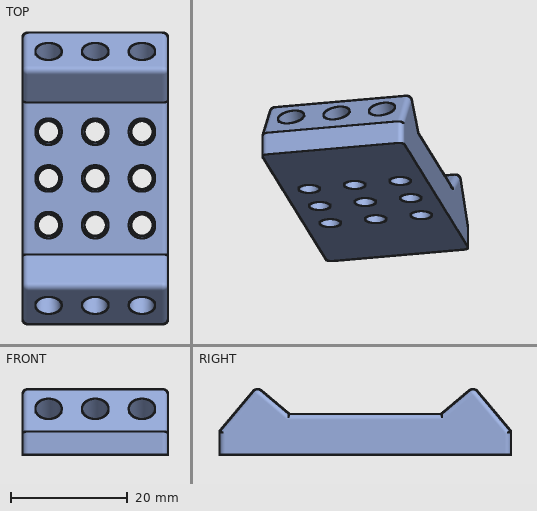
import math

import cadquery as cq

width = 25.0
length = 50.0
edge_radius = 1.0

wall_height = 4.0
groove_floor = 7.0
groove_half_length = 13.0
outer_slope = 50.0
inner_slope = 40.0

hole_top_diameter = 4.55
hole_end_diameter = 3.65
hole_depth = groove_floor
hole_pitch = 8.0
slope_hole_y = 21.75

half_length = length / 2
outer_rise = math.tan(math.radians(outer_slope))
inner_rise = math.tan(math.radians(inner_slope))


def outer_slope_height(y):
    """Height of the outer slope at distance y from the middle."""
    return wall_height + (half_length - y) * outer_rise


ridge_y = (
    wall_height + half_length * outer_rise - groove_floor + groove_half_length * inner_rise
) / (outer_rise + inner_rise)
ridge_height = outer_slope_height(ridge_y)


def make_body():
    """Extrude the side profile across the width and round its edges."""
    half_profile = [
        (half_length, 0),
        (half_length, wall_height),
        (ridge_y, ridge_height),
        (groove_half_length, groove_floor),
    ]
    mirrored_half = [(-y, z) for y, z in reversed(half_profile)]
    body = (
        cq.Workplane("YZ")
        .polyline(half_profile + mirrored_half)
        .close()
        .extrude(width / 2, both=True)
    )
    side_edges = body.faces("<X or >X").edges("not <Z")
    ridges = body.edges("|X").edges(">Z")
    return body.newObject(side_edges.vals() + ridges.vals()).edges().fillet(edge_radius)


def hole_cutter(x, y, z, axis):
    """Tapered cutter that starts at its wide end at (x, y, z) and runs along axis."""
    return cq.Solid.makeCone(
        hole_top_diameter / 2,
        hole_end_diameter / 2,
        hole_depth,
        pnt=cq.Vector(x, y, z),
        dir=cq.Vector(*axis),
    )


column_positions = [-hole_pitch, 0, hole_pitch]
result = make_body()

for x in column_positions:
    for y in column_positions:
        result = result.cut(hole_cutter(x, y, groove_floor, (0, 0, -1)))

slope_hole_z = outer_slope_height(slope_hole_y)
inward = math.sin(math.radians(outer_slope))
downward = math.cos(math.radians(outer_slope))
for side in (-1, 1):
    for x in column_positions:
        axis = (0, -side * inward, -downward)
        result = result.cut(hole_cutter(x, side * slope_hole_y, slope_hole_z, axis))